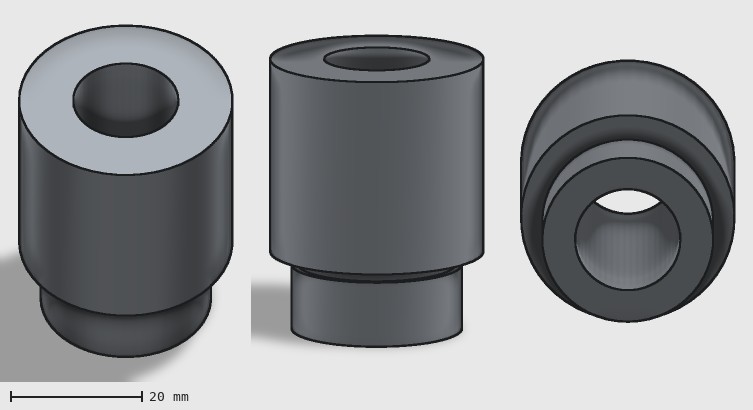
import cadquery as cq

total_height = 42.0
body_diameter = 32.5
spigot_diameter = 26.0
neck_diameter = 24.0
bore_diameter = 16.0
spigot_height = 10.0
neck_height = 2.0
body_height = total_height - spigot_height - neck_height


def add_cylinder(part, diameter, height):
    """Stack a coaxial cylinder on the top face of the part."""
    return part.faces(">Z").workplane().circle(diameter / 2).extrude(height)


sleeve = cq.Workplane("XY").circle(spigot_diameter / 2).extrude(spigot_height)
sleeve = add_cylinder(sleeve, neck_diameter, neck_height)
sleeve = add_cylinder(sleeve, body_diameter, body_height)

result = sleeve.faces(">Z").workplane().hole(bore_diameter)